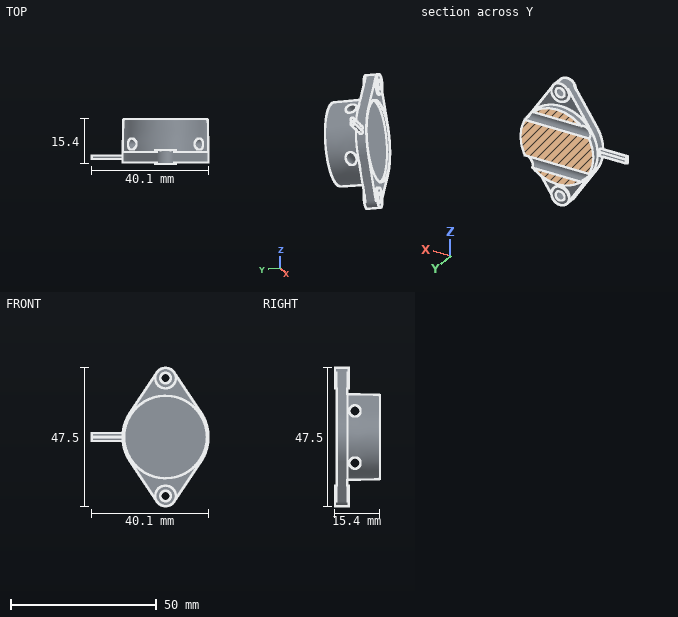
import cadquery as cq
import math

plate_radius = 14.75
plate_thickness = 3.7
overall_height = 47.5

boss_radius = 7.1 / 2
boss_offset = overall_height / 2 - boss_radius
boss_overhang = 0.5
boss_length = plate_thickness + 2 * boss_overhang
mount_hole_diameter = 3.5

housing_base_radius = 14.72
housing_end_radius = 14.55
housing_end_y = 14.95
rim_fillet = 0.55

recess_diameter = 28.3
recess_depth = 1.0

cross_hole_diameter = 3.8
cross_hole_y = 6.3
cross_hole_offset = 8.95

wire_diameter = 1.3
wire_offset = 0.75
wire_y = plate_thickness / 2
wire_tip_x = -25.35
wire_embed = 0.95


def cylinder_y(radius, y_start, length, z=0):
    """Cylinder along +Y, centred on X = 0."""
    return cq.Workplane("XZ", origin=(0, y_start, z)).circle(radius).extrude(-length)


def cylinder_x(diameter, x_start, length, y, z):
    """Cylinder along +X."""
    return cq.Workplane("YZ", origin=(x_start, y, z)).circle(diameter / 2).extrude(length)


def make_plate():
    """Two-eared plate whose straight sides are tangent to the centre and ear arcs."""
    tangent_sine = (plate_radius - boss_radius) / boss_offset
    tangent_cosine = math.sqrt(1 - tangent_sine**2)
    side_x = plate_radius * tangent_cosine
    side_z = plate_radius * tangent_sine
    ear_x = boss_radius * tangent_cosine
    ear_z = boss_offset + boss_radius * tangent_sine
    top_z = overall_height / 2
    return (
        cq.Workplane("XZ")
        .moveTo(side_x, -side_z)
        .threePointArc((plate_radius, 0), (side_x, side_z))
        .lineTo(ear_x, ear_z)
        .threePointArc((0, top_z), (-ear_x, ear_z))
        .lineTo(-side_x, side_z)
        .threePointArc((-plate_radius, 0), (-side_x, -side_z))
        .lineTo(-ear_x, -ear_z)
        .threePointArc((0, -top_z), (ear_x, -ear_z))
        .close()
        .extrude(-plate_thickness)
    )


def make_housing():
    """Solid of revolution about Y: slight taper with a rounded rim."""
    return (
        cq.Workplane("XY")
        .polyline([
            (0, 0),
            (housing_base_radius, 0),
            (housing_base_radius, plate_thickness),
            (housing_end_radius, housing_end_y),
            (0, housing_end_y),
        ])
        .close()
        .revolve(360, (0, 0, 0), (0, 1, 0))
        .faces(">Y")
        .edges()
        .fillet(rim_fillet)
    )


result = make_plate().union(make_housing())
result = result.cut(cylinder_y(recess_diameter / 2, 0, recess_depth))

for side in (-1, 1):
    boss_z = side * boss_offset
    result = result.union(cylinder_y(boss_radius, -boss_overhang, boss_length, boss_z))
    result = result.cut(cylinder_y(mount_hole_diameter / 2, -boss_overhang, boss_length, boss_z))

    cross_hole = cylinder_x(
        cross_hole_diameter, -plate_radius, 2 * plate_radius, cross_hole_y, side * cross_hole_offset
    )
    result = result.cut(cross_hole)

    wire_length = -plate_radius + wire_embed - wire_tip_x
    wire = cylinder_x(wire_diameter, wire_tip_x, wire_length, wire_y, side * wire_offset)
    result = result.union(wire)